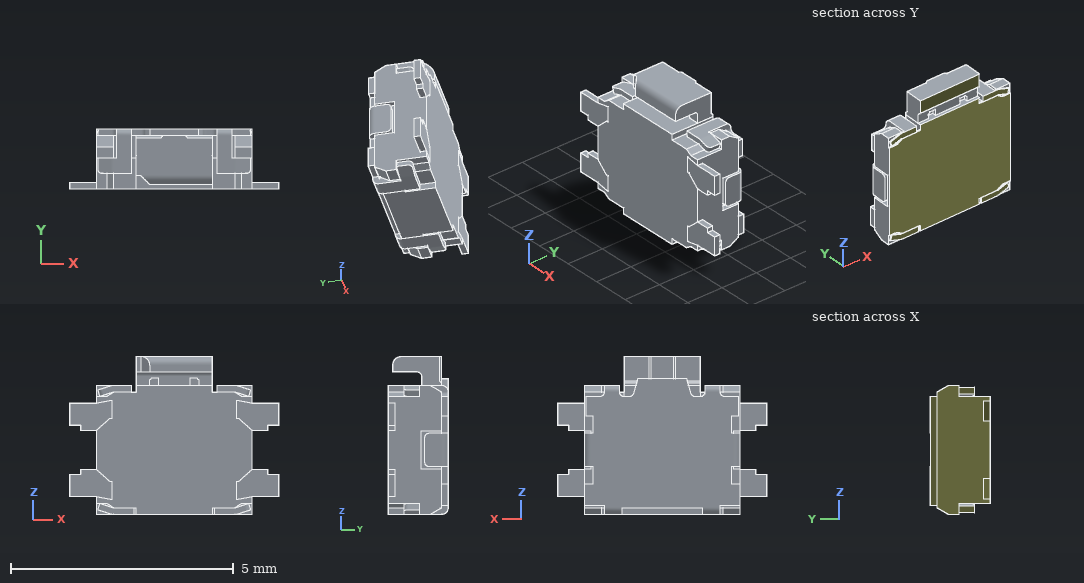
import cadquery as cq
import math


housing_length = 3.5
housing_height = 2.9
housing_depth = 1.2
sheet = 0.15
overall_length = 4.7
overall_height = 3.55

half_length = housing_length / 2
mid_height = housing_height / 2
cover_back = housing_depth + sheet
arm_seat = housing_height - sheet

center_half_width = 0.855
corner_height = 2.65
corner_slope_outer = 1.515
lug_front = 0.7
lug_inner = 1.36
lug_bevel_depth = 0.26
side_pocket_front = 0.74
side_pocket_width = 0.85

arm_outer = 1.3
top_arm_inner = 0.955
bottom_arm_inner = 0.9
arm_front = 0.35
finger_angle = math.radians(18)
finger_bend_inner = 0.05
finger_length = 0.31
finger_corner = 0.1
relief_radius = 0.1
top_ear_edge = 1.71
top_ear_bottom = 2.21
bottom_ear_top = mid_height - (top_ear_bottom - mid_height)
bottom_ear_bottom = 0.2
side_notch_edge = 1.55
side_tab_width = 0.75
side_tab_front = 0.82
side_tab_corner = 0.1
crown_height = 3.05
crown_half_width = 0.55
crown_foot_half_width = 0.66

hook_underside = 3.2
leg_front = 0.75
leg_fillet = 0.1
nose_front = 0.1
nose_radius = 0.2
nose_cut_outer = 0.75
pad_half_width = 0.25
pad_height = 0.05
pad_base = 3.0
notch_inner = 0.35
notch_outer = 0.56
notch_top = 3.06
notch_depth = 0.1
notch_chamfer = 0.05

terminal_bottom = 2.0
terminal_top = 2.5
terminal_step_edge = 2.1
terminal_step_bottom = 1.885
terminal_inner = 1.395
terminal_inner_top = 2.565
terminal_neck = 1.445
terminal_neck_height = 2.16


def block(x0, x1, y0, y1, z0, z1):
    """Box between two opposite corners."""
    return cq.Workplane("XY").box(x1 - x0, y1 - y0, z1 - z0, centered=False).translate((x0, y0, z0))


def extrude_along_y(sketch, y0, y1):
    """Extrude a closed XZ outline from y0 to y1 (the XZ plane's normal points toward -Y)."""
    return sketch.extrude(-(y1 - y0)).translate((0, y0, 0))


def mirror_x(body):
    return body.mirror("YZ")


def mirror_z(body):
    """Mirror about the housing's mid-height."""
    return body.mirror("XY", (0, 0, mid_height))


def four_corners(body):
    """The top-left feature followed by its copies in the other three corners."""
    left = [body, mirror_z(body)]
    return left + [mirror_x(corner) for corner in left]


def make_terminal():
    """Flat top-left terminal: outer solder pad, step and splayed end held in the housing."""
    outline = cq.Workplane("XZ").polyline([
        (-overall_length / 2, terminal_top),
        (-half_length, terminal_top),
        (-terminal_inner, terminal_inner_top),
        (-terminal_inner, terminal_neck_height),
        (-terminal_neck, terminal_neck_height),
        (-half_length, terminal_step_bottom),
        (-terminal_step_edge, terminal_step_bottom),
        (-terminal_step_edge, terminal_bottom),
        (-overall_length / 2, terminal_bottom),
    ]).close()
    return extrude_along_y(outline, 0, sheet)


def make_corner_recess():
    """Top-left space in front of the lug, where the cover's finger lies."""
    outline = cq.Workplane("XZ").polyline([
        (-half_length, housing_height),
        (-center_half_width, housing_height),
        (-center_half_width, arm_seat),
        (-lug_inner, arm_seat),
        (-corner_slope_outer, corner_height),
        (-half_length, corner_height),
    ]).close()
    return extrude_along_y(outline, 0, lug_front)


def make_lug_bevel():
    """Wedge cut from the back edge of the top-left lug."""
    return (
        cq.Workplane("YZ")
        .polyline([
            (housing_depth, housing_height),
            (housing_depth - lug_bevel_depth, housing_height),
            (housing_depth, arm_seat),
        ])
        .close()
        .extrude(half_length - lug_inner)
        .translate((-half_length, 0, 0))
    )


def make_left_arm_slots():
    """Slots behind the left finger recesses that take the top and bottom cover arms."""
    top = block(-lug_inner, -center_half_width, lug_front, housing_depth, arm_seat, housing_height)
    relief = block(-top_arm_inner, -center_half_width, lug_front, housing_depth, corner_height, arm_seat)
    bottom = block(-lug_inner, -bottom_arm_inner, lug_front, housing_depth, 0, sheet)
    return top.union(relief).union(bottom)


def make_housing(terminals):
    housing = block(-half_length, half_length, 0, housing_depth, 0, housing_height)
    for cutter in four_corners(make_corner_recess()) + four_corners(make_lug_bevel()):
        housing = housing.cut(cutter)
    side_pocket = block(
        -half_length, -half_length + sheet,
        side_pocket_front, housing_depth,
        mid_height - side_pocket_width / 2, mid_height + side_pocket_width / 2,
    )
    for cutter in (make_left_arm_slots(), side_pocket):
        housing = housing.cut(cutter).cut(mirror_x(cutter))
    for terminal in terminals:
        housing = housing.cut(terminal)
    return housing


def make_arm(inner_edge):
    """Top-left cover arm, bent forward from the back plate."""
    diagonal = sheet * math.sqrt(0.5)
    return (
        cq.Workplane("YZ")
        .moveTo(arm_front, arm_seat)
        .lineTo(arm_front, housing_height)
        .lineTo(housing_depth, housing_height)
        .threePointArc((housing_depth + diagonal, arm_seat + diagonal), (cover_back, arm_seat))
        .close()
        .extrude(arm_outer - inner_edge)
        .translate((-arm_outer, 0, 0))
    )


def make_finger():
    """Top-left retaining finger at the arm's end, bent down under the outer corner."""
    bend_x = -lug_inner
    bend_z = arm_seat - finger_bend_inner
    outer_radius = finger_bend_inner + sheet

    def bend_point(radius, angle):
        return (bend_x - radius * math.sin(angle), bend_z + radius * math.cos(angle))

    def tip_point(radius):
        x, z = bend_point(radius, finger_angle)
        return (x - finger_length * math.cos(finger_angle), z - finger_length * math.sin(finger_angle))

    outline = (
        cq.Workplane("XZ")
        .moveTo(-arm_outer, housing_height)
        .lineTo(bend_x, housing_height)
        .threePointArc(bend_point(outer_radius, finger_angle / 2), bend_point(outer_radius, finger_angle))
        .lineTo(*tip_point(outer_radius))
        .lineTo(*tip_point(finger_bend_inner))
        .lineTo(*bend_point(finger_bend_inner, finger_angle))
        .threePointArc(bend_point(finger_bend_inner, finger_angle / 2), (bend_x, arm_seat))
        .lineTo(-arm_outer, arm_seat)
        .close()
    )
    tip_x, tip_z = tip_point(finger_bend_inner + sheet / 2)
    tip_edge = cq.selectors.NearestToPointSelector((tip_x, arm_front, tip_z))
    return extrude_along_y(outline, arm_front, lug_front).edges(tip_edge).fillet(finger_corner)


def make_side_tab():
    """Left cover tab, bent forward into the housing's side pocket."""
    diagonal = sheet * math.sqrt(0.5)
    bend_x = -half_length + sheet
    tab = (
        cq.Workplane("XY")
        .moveTo(bend_x, side_tab_front)
        .lineTo(-half_length, side_tab_front)
        .lineTo(-half_length, housing_depth)
        .threePointArc((bend_x - diagonal, housing_depth + diagonal), (bend_x, cover_back))
        .close()
        .extrude(side_tab_width)
        .translate((0, 0, mid_height - side_tab_width / 2))
    )
    return tab.faces("<Y").edges("|X").fillet(side_tab_corner)


def make_left_half_plate():
    """Left half of the flat back plate, with the raised crown, relief notches and ears."""
    tab_root = half_length - sheet
    tab_bottom = mid_height - side_tab_width / 2
    tab_top = mid_height + side_tab_width / 2
    outline = cq.Workplane("XZ").polyline([
        (0, crown_height),
        (-crown_half_width, crown_height),
        (-crown_foot_half_width, corner_height),
        (-top_arm_inner, corner_height),
        (-top_arm_inner, arm_seat),
        (-arm_outer, arm_seat),
        (-arm_outer, corner_height),
        (-top_ear_edge, corner_height),
        (-top_ear_edge, top_ear_bottom),
        (-side_notch_edge, top_ear_bottom),
        (-side_notch_edge, tab_top),
        (-tab_root, tab_top),
        (-tab_root, tab_bottom),
        (-side_notch_edge, tab_bottom),
        (-side_notch_edge, bottom_ear_top),
        (-half_length, bottom_ear_top),
        (-half_length, bottom_ear_bottom),
        (-arm_outer, bottom_ear_bottom),
        (-arm_outer, sheet),
        (0, sheet),
    ]).close()
    return extrude_along_y(outline, housing_depth, cover_back)


def round_relief(cover, x):
    """Round the inside corner at x and the relief floor."""
    corner = cq.selectors.NearestToPointSelector((x, housing_depth + sheet / 2, corner_height))
    return cover.edges("|Y").edges(corner).fillet(relief_radius)


def make_cover():
    half = make_left_half_plate().union(make_side_tab())
    half = half.union(make_arm(top_arm_inner)).union(make_finger())
    half = half.union(mirror_z(make_arm(bottom_arm_inner))).union(mirror_z(make_finger()))
    for x in (-crown_foot_half_width, -top_arm_inner, -arm_outer):
        half = round_relief(half, x)
    return half.union(mirror_x(half))


def make_button_notch():
    """Left notch in the foot of the button's front face, with its outer top corner cut off."""
    outline = cq.Workplane("XZ").polyline([
        (-notch_inner, housing_height),
        (-notch_inner, notch_top),
        (-notch_outer + notch_chamfer, notch_top),
        (-notch_outer, notch_top - notch_chamfer),
        (-notch_outer, housing_height),
    ]).close()
    return extrude_along_y(outline, leg_front, leg_front + notch_depth)


def make_back_pad_recess():
    """Left recess in the button's back face, leaving a middle pad; its side and floor slant at 45 degrees."""
    floor_y = housing_depth - pad_height
    side_profile = (
        cq.Workplane("YZ")
        .polyline([
            (floor_y, overall_height),
            (floor_y, pad_base),
            (housing_depth, pad_base - pad_height),
            (housing_depth, overall_height),
        ])
        .close()
        .extrude(-center_half_width)
    )
    plan_profile = (
        cq.Workplane("XY")
        .polyline([
            (-center_half_width, floor_y),
            (-pad_half_width - pad_height, floor_y),
            (-pad_half_width, housing_depth),
            (-center_half_width, housing_depth),
        ])
        .close()
        .extrude(overall_height)
    )
    return side_profile.intersect(plan_profile)


def make_button():
    hook = (
        cq.Workplane("YZ")
        .moveTo(housing_depth, housing_height)
        .lineTo(housing_depth, overall_height)
        .lineTo(nose_front + nose_radius, overall_height)
        .radiusArc((nose_front, overall_height - nose_radius), -nose_radius)
        .lineTo(nose_front, hook_underside)
        .lineTo(leg_front - leg_fillet, hook_underside)
        .radiusArc((leg_front, hook_underside - leg_fillet), leg_fillet)
        .lineTo(leg_front, housing_height)
        .close()
        .extrude(2 * center_half_width)
        .translate((-center_half_width, 0, 0))
    )
    nose_back = nose_front + nose_radius
    nose_cut = (
        cq.Workplane("XY")
        .polyline([
            (-center_half_width, nose_front),
            (-center_half_width, nose_back),
            (-nose_cut_outer, nose_back),
            (-nose_cut_outer + nose_radius, nose_front),
        ])
        .close()
        .extrude(overall_height - hook_underside)
        .translate((0, 0, hook_underside))
    )
    button = hook.cut(nose_cut)
    for cutter in (make_button_notch(), make_back_pad_recess()):
        button = button.cut(cutter).cut(mirror_x(cutter))
    return button


terminals = four_corners(make_terminal())
housing = make_housing(terminals)
cover = make_cover()
button = make_button()

result = cq.Compound.makeCompound([
    housing.solids().val(),
    cover.solids().val(),
    button.solids().val(),
    *[terminal.val() for terminal in terminals],
])